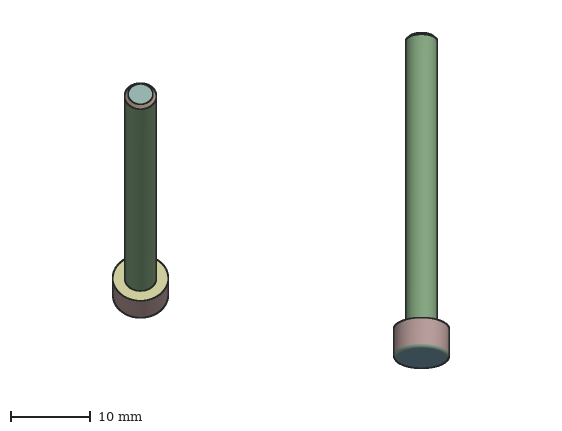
import cadquery as cq

total_length = 44.0
head_diameter = 7.0
head_height = 4.0
shank_diameter = 4.0
tip_chamfer = 0.45
head_edge_radius = 0.4

shank_length = total_length - head_height


def make_head():
    """Cylindrical head standing on Z = 0, with a rounded lower rim."""
    head = cq.Workplane("XY").circle(head_diameter / 2).extrude(head_height)
    return head.faces("<Z").edges().fillet(head_edge_radius)


def make_shank():
    """Plain shank rising from the head, with a chamfered tip."""
    shank = cq.Workplane("XY").workplane(offset=head_height)
    shank = shank.circle(shank_diameter / 2).extrude(shank_length)
    return shank.faces(">Z").edges().chamfer(tip_chamfer)


result = make_head().union(make_shank())